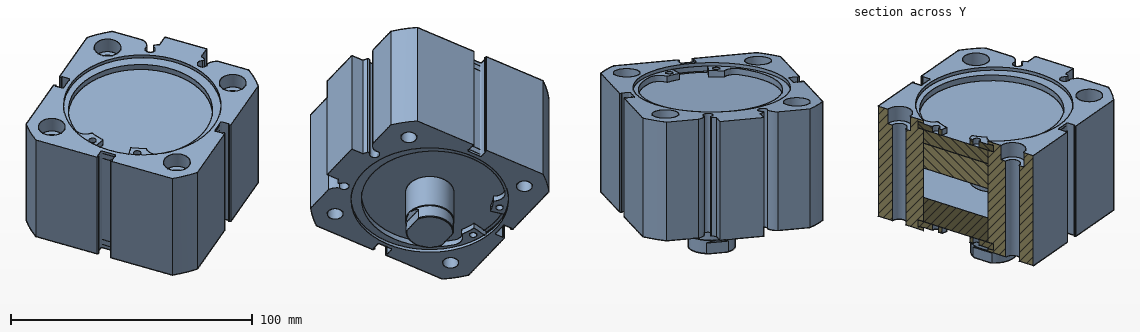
import cadquery as cq
import math


body_half = 38.8
body_height = 51.7
corner_radius = 49.55
bore_radius = 32.5

mount_offset = 28.3
mount_diameter = 6.55
counterbore_diameter = 11.0
counterbore_depth = 6.7

slot_floor = 34.2
slot_half_width = 3.3
slot_mouth_half = 2.7
slot_lip = 0.9
slot_mouth_chamfer = 0.4
slot_floor_fillet = 0.5

rail_half_width = 9.5
rail_top = 44.2
groove_x = 11.8
groove_y = 34.5
groove_radius = 2.1
ridge_x = 11.45
ridge_y = 37.3
ridge_rise = 0.5
ridge_round = 0.2
throat_x = 10.1
throat_y = 35.3
shoulder_x = 17.1
shoulder_mid_x = 14.9
shoulder_mid_y = 37.4
lip_x = 13.5
lip_y = 35.1

ring_thickness = 2.65
ring_inset = 1.5
ring_wall = 0.25
ring_radius = slot_floor - ring_wall
ring_inner_radius = 29.8
ring_inner_shift = 1.8
lug_radius = 26.5
lug_start_angle = 13.6
lug_end_angle = 27.7
lug_hole_angle = 20.0
lug_hole_distance = 29.55
lug_hole_diameter = 3.0
scoop_mid_x = 15.85
scoop_mid_y = 25.65
scoop_end_angle = 41.4

head_cover_thickness = 6.6
rod_cover_thickness = 11.6
piston_thickness = 11.6
rod_radius = 10.05
rod_length_out = 17.8
rod_tip_radius = 9.8
rod_tip_length = 6.2
rod_tip_chamfer = 0.3
flat_half = 8.55
flat_length = 4.8

cover_inset = ring_inset + ring_thickness


def polar_from_gap(radius, angle):
    """Point at an angle from the -Y direction, on the +X side."""
    turn = math.radians(angle)
    return radius * math.sin(turn), -radius * math.cos(turn)


def disc(radius, height, bottom):
    return cq.Workplane("XY").workplane(offset=bottom).circle(radius).extrude(height)


def side_slot(turn):
    """T-slot cutter for the -Y side, turned about the axis."""
    lip_y = -(body_half - slot_lip)
    chamfer_y = -(body_half - slot_mouth_chamfer)
    flare_half = slot_mouth_half + slot_mouth_chamfer
    half = [
        (slot_half_width, -slot_floor),
        (slot_half_width, lip_y),
        (slot_mouth_half, lip_y),
        (slot_mouth_half, chamfer_y),
        (flare_half, -body_half),
    ]
    mirrored = [(-x, y) for x, y in reversed(half)]
    slot = cq.Workplane("XY").polyline(half + mirrored).close().extrude(body_height)
    slot = slot.faces(">Y").edges("|Z").fillet(slot_floor_fillet)
    return slot.rotate((0, 0, 0), (0, 0, 1), turn)


def flank_relief():
    """Cutter for the relief beside the rail, on the +X side."""
    ridge_end_x = ridge_x - ridge_round
    throat = (
        cq.Workplane("XY")
        .moveTo(rail_half_width, body_half)
        .lineTo(ridge_end_x, ridge_y + ridge_rise)
        .threePointArc((ridge_x, ridge_y), (ridge_end_x, ridge_y - ridge_rise))
        .lineTo(throat_x, throat_y)
        .lineTo(groove_x, groove_y)
        .lineTo(lip_x, lip_y)
        .threePointArc((shoulder_mid_x, shoulder_mid_y), (shoulder_x, body_half))
        .close()
        .extrude(body_height)
    )
    groove = cq.Workplane("XY").center(groove_x, groove_y).circle(groove_radius).extrude(body_height)
    return throat.union(groove)


def make_housing():
    side = 2 * body_half
    body = cq.Workplane("XY").rect(side, side).extrude(body_height)
    body = body.intersect(disc(corner_radius, body_height, 0))

    rail = (
        cq.Workplane("XY")
        .center(0, (rail_top + groove_y) / 2)
        .rect(2 * rail_half_width, rail_top - groove_y)
        .extrude(body_height)
    )
    relief = flank_relief()
    body = body.union(rail).cut(relief).cut(relief.mirror("YZ"))

    for turn in (0, 90, -90):
        body = body.cut(side_slot(turn))

    body = (
        body.faces(">Z").workplane(origin=(0, 0, body_height))
        .rect(2 * mount_offset, 2 * mount_offset, forConstruction=True)
        .vertices()
        .cboreHole(mount_diameter, counterbore_diameter, counterbore_depth)
    )

    body = body.cut(disc(bore_radius, body_height, 0))
    for bottom in (ring_inset, body_height - cover_inset):
        body = body.cut(disc(ring_radius, ring_thickness, bottom))
    return body


def make_ring(bottom):
    """Eccentric retaining ring, open at -Y, with two plier lugs."""
    lug_tip_x, lug_tip_y = polar_from_gap(lug_radius, lug_start_angle)
    lug_mid_x, lug_mid_y = polar_from_gap(lug_radius, (lug_start_angle + lug_end_angle) / 2)
    lug_root_x, lug_root_y = polar_from_gap(lug_radius, lug_end_angle)
    arm_x, arm_y = polar_from_gap(ring_inner_radius, scoop_end_angle)
    arm_y -= ring_inner_shift
    gap_x, gap_y = polar_from_gap(ring_radius, lug_start_angle)
    hole_x, hole_y = polar_from_gap(lug_hole_distance, lug_hole_angle)
    return (
        cq.Workplane("XY")
        .workplane(offset=bottom)
        .moveTo(gap_x, gap_y)
        .threePointArc((0, ring_radius), (-gap_x, gap_y))
        .lineTo(-lug_tip_x, lug_tip_y)
        .threePointArc((-lug_mid_x, lug_mid_y), (-lug_root_x, lug_root_y))
        .threePointArc((-scoop_mid_x, -scoop_mid_y), (-arm_x, arm_y))
        .threePointArc((0, ring_inner_radius - ring_inner_shift), (arm_x, arm_y))
        .threePointArc((scoop_mid_x, -scoop_mid_y), (lug_root_x, lug_root_y))
        .threePointArc((lug_mid_x, lug_mid_y), (lug_tip_x, lug_tip_y))
        .close()
        .pushPoints([(hole_x, hole_y), (-hole_x, hole_y)])
        .circle(lug_hole_diameter / 2)
        .extrude(ring_thickness)
    )


def make_head_cover():
    return disc(bore_radius, head_cover_thickness, body_height - cover_inset - head_cover_thickness)


def make_rod_cover():
    cover = disc(bore_radius, rod_cover_thickness, cover_inset)
    return cover.cut(disc(rod_radius, rod_cover_thickness, cover_inset))


def make_piston_rod():
    """Piston and rod in one piece, drawn in against the head cover."""
    piston_top = body_height - cover_inset - head_cover_thickness
    piston_bottom = piston_top - piston_thickness
    rod_end = -rod_length_out
    tip_top = rod_end + rod_tip_length
    step = rod_radius - rod_tip_radius
    profile = [
        (0, rod_end),
        (-(rod_tip_radius - rod_tip_chamfer), rod_end),
        (-rod_tip_radius, rod_end + rod_tip_chamfer),
        (-rod_tip_radius, tip_top - step),
        (-rod_radius, tip_top),
        (-rod_radius, piston_bottom),
        (-bore_radius, piston_bottom),
        (-bore_radius, piston_top),
        (0, piston_top),
    ]
    body = cq.Workplane("YZ").polyline(profile).close().revolve(360, (0, 0, 0), (0, 1, 0))

    flat_top = rod_end + flat_length
    depth = rod_radius - flat_half
    flat = (
        cq.Workplane("YZ")
        .moveTo(-flat_half, rod_end)
        .lineTo(-flat_half, flat_top)
        .lineTo(-rod_radius, flat_top + depth)
        .lineTo(-rod_radius, rod_end)
        .close()
        .extrude(rod_radius, both=True)
    )
    return body.cut(flat).cut(flat.mirror("XZ"))


housing = make_housing()
head_cover = make_head_cover()
rod_cover = make_rod_cover()
piston_rod = make_piston_rod()
rings = [make_ring(bottom).val() for bottom in (ring_inset, body_height - cover_inset)]

result = cq.Compound.makeCompound(
    [housing.val(), head_cover.val(), rod_cover.val(), piston_rod.val(), *rings]
)